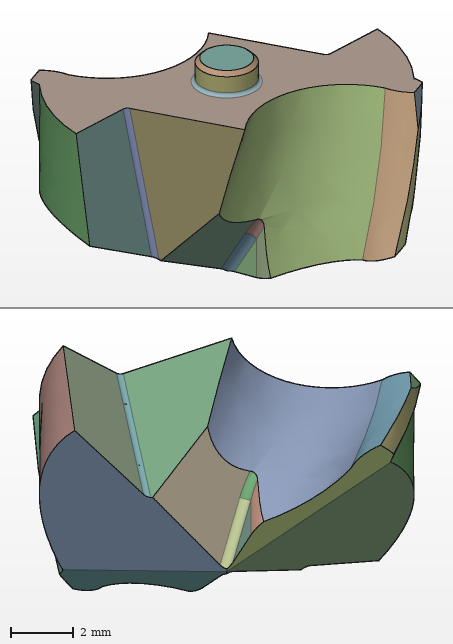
import cadquery as cq
import math

lip_radius = 6.3
body_radius = 6.04
tip_depth = 6.87
helix_turn = 35.4
far = 10.08

land_front_angle = 194.8
land_back_angle = 201.1
body_front_angle = 203.7
body_end_angle = 295.0

land_lead_middle = (-5.61, -1.42)
trough_start = (-4.91, -1.45)
trough_middle = (-2.4, -0.33)
trough_end = (-1.76, 2.86)

notch_y = 2.87
notch_x = 2.35
notch_side_angle = 69.8
notch_lean = 0.19
notch_root_radius = 0.19

lip_slope = 0.37
primary_relief = 0.11
secondary_relief = 0.383

gash_slope_x = 1.05
gash_slope_y = -0.946
gash_wall_slope = -0.64
gash_bend_x = 1.37
gash_end = (2.27, -1.08)
gash_reach = 3.78
gash_root_radius = 0.32

bevel_x = 5.9
bevel_depth = 1.32

pin_radius = 1.02
pin_height = 0.86
pin_chamfer = 0.15
pin_fillet = 0.13


def polar(radius, angle):
    turn = math.radians(angle)
    return (radius * math.cos(turn), radius * math.sin(turn))


def same(point):
    return point


def opposite(point):
    return (-point[0], -point[1])


def half_turned(shape):
    return shape.rotate((0, 0, 0), (0, 0, 1), 180)


def section(plane):
    """Fluted cross-section: land, body arc and flute wall for each half."""
    land_front = polar(lip_radius, land_front_angle)
    land_middle = polar(lip_radius, (land_front_angle + land_back_angle) / 2)
    land_back = polar(lip_radius, land_back_angle)
    body_front = polar(body_radius, body_front_angle)
    body_middle = polar(body_radius, (body_front_angle + body_end_angle) / 2)
    body_end = polar(body_radius, body_end_angle)
    outline = plane.moveTo(*land_front)
    for side in (same, opposite):
        across = opposite if side is same else same
        outline = (
            outline.threePointArc(side(land_middle), side(land_back))
            .lineTo(*side(body_front))
            .threePointArc(side(body_middle), side(body_end))
            .lineTo(*across(trough_end))
            .threePointArc(across(trough_middle), across(trough_start))
            .threePointArc(across(land_lead_middle), across(land_front))
        )
    return outline.close()


def fluted_body():
    bottom = cq.Workplane("XY").transformed(offset=(0, 0, -tip_depth), rotate=(0, 0, -helix_turn))
    return section(bottom).twistExtrude(tip_depth, helix_turn)


def space_below(slope_x, slope_y):
    """Block under the plane through the tip that rises by the given slopes."""
    tip_plane = cq.Plane(
        origin=(0, 0, -tip_depth), xDir=(1, 0, slope_x), normal=(-slope_x, -slope_y, 1)
    )
    return cq.Workplane(tip_plane).rect(4 * far, 4 * far).extrude(-2 * far)


def gash():
    """Corner-shaped cutter between the sloping gash floor and the upright gash wall."""
    wall_side = (
        cq.Workplane("XY")
        .moveTo(-far, -far * gash_wall_slope)
        .lineTo(gash_bend_x, gash_bend_x * gash_wall_slope)
        .tangentArcPoint(gash_end, relative=False)
        .lineTo(gash_reach, gash_end[1])
        .lineTo(gash_reach, -far)
        .lineTo(-far, -far)
        .close()
        .extrude(2 * far, both=True)
    )
    cutter = space_below(gash_slope_x, gash_slope_y).intersect(wall_side)
    root_x = 1 / (gash_slope_x + gash_slope_y * gash_wall_slope)
    root_direction = cq.selectors.ParallelDirSelector(cq.Vector(root_x, root_x * gash_wall_slope, 1))
    root = cutter.edges(root_direction).edges(
        cq.selectors.NearestToPointSelector((0, 0, -tip_depth))
    )
    return root.fillet(gash_root_radius)


def notch():
    """Leaning prism open to +Y and -X, with a rounded root corner."""
    side_x = far / math.tan(math.radians(notch_side_angle))
    lean = notch_lean * tip_depth

    def outline(plane, shift):
        corner_x = notch_x - shift
        return plane.polyline(
            [
                (corner_x, notch_y),
                (corner_x + side_x, notch_y + far),
                (-far - shift, notch_y + far),
                (-far - shift, notch_y),
            ]
        ).close()

    top = outline(cq.Workplane("XY"), 0)
    prism = outline(top.workplane(offset=-tip_depth), lean).loft(ruled=True)
    root = prism.edges(cq.selectors.NearestToPointSelector((notch_x - lean / 2, notch_y, -tip_depth / 2)))
    return root.fillet(notch_root_radius)


def lip_bevel():
    """Wedge that slopes the upper outside of the land on the +X side."""
    return (
        cq.Workplane("XZ")
        .polyline([(bevel_x, 0), (lip_radius, -bevel_depth), (far, -bevel_depth), (far, 0)])
        .close()
        .extrude(far / 2, both=True)
    )


pin = cq.Workplane("XY").circle(pin_radius).extrude(pin_height).faces(">Z").chamfer(pin_chamfer)
foot_inset = pin_fillet * (1 - math.sqrt(0.5))
foot_middle = (pin_radius + foot_inset, foot_inset)
pin_foot = (
    cq.Workplane("XZ")
    .lineTo(pin_radius + pin_fillet, 0)
    .threePointArc(foot_middle, (pin_radius, pin_fillet))
    .lineTo(0, pin_fillet)
    .close()
    .revolve(360, (0, 0), (0, 1))
)

head = fluted_body()
cutters = [
    space_below(lip_slope, primary_relief),
    space_below(lip_slope, secondary_relief),
    gash(),
    notch(),
    lip_bevel(),
]
for cutter in cutters:
    head = head.cut(cutter).cut(half_turned(cutter))

result = head.union(pin).union(pin_foot)